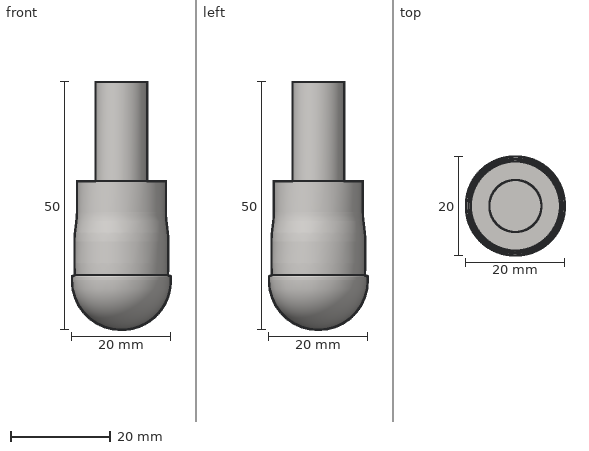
import cadquery as cq
import math

total_height = 50.0

dome_radius = 10.0
rim_height = 0.85
rim_fillet = 0.25
rim_slope_rise = 0.2

shank_radius = 5.25
shank_length = 20.0
collar_radius = 9.0
barrel_radius = 9.5
blend_radius = 15.0
taper_top = 22.85
taper_bottom = 18.75
barrel_bottom = 13.5
barrel_end_radius = 30.0

rim_top = dome_radius + rim_height
joint_height = rim_top + rim_slope_rise
shoulder_height = total_height - shank_length

taper_angle = math.atan2(barrel_radius - collar_radius, taper_top - taper_bottom)
blend_tangent = blend_radius * math.tan(taper_angle / 2)
blend_rise = blend_tangent * math.cos(taper_angle)
blend_step = blend_tangent * math.sin(taper_angle)


def blend_middle(corner_radius, corner_height, side):
    """Middle of a blend arc; side is +1 when the arc lies outside the corner, -1 when inside."""
    half_angle = taper_angle / 2
    gap = blend_radius / math.cos(half_angle) - blend_radius
    return (
        corner_radius + side * gap * math.cos(half_angle),
        corner_height + side * gap * math.sin(half_angle),
    )


def lower_arc_radius(height):
    """Radius of the inward-curving lower end of the barrel at a given height."""
    drop = barrel_bottom - height
    return barrel_radius - barrel_end_radius + math.sqrt(barrel_end_radius**2 - drop**2)


def make_dome():
    """Hemisphere with a short cylindrical rim, a rounded rim edge and a gentle slope up to the joint."""
    diagonal = math.sqrt(0.5)
    profile = (
        cq.Workplane("XZ")
        .moveTo(0, 0)
        .threePointArc((dome_radius * diagonal, dome_radius * (1 - diagonal)), (dome_radius, dome_radius))
        .lineTo(dome_radius, rim_top)
        .lineTo(lower_arc_radius(joint_height), joint_height)
        .lineTo(0, joint_height)
        .close()
    )
    dome = profile.revolve(360, (0, 0, 0), (0, 1, 0))
    rim_edge = cq.NearestToPointSelector((0, 0, rim_top))
    return dome.edges(rim_edge).fillet(rim_fillet)


def make_holder():
    """Shank, collar and barrel turned as one piece, standing on the flat top of the dome."""
    lower_middle = (joint_height + barrel_bottom) / 2
    profile = (
        cq.Workplane("XZ")
        .moveTo(0, joint_height)
        .lineTo(lower_arc_radius(joint_height), joint_height)
        .threePointArc((lower_arc_radius(lower_middle), lower_middle), (barrel_radius, barrel_bottom))
        .lineTo(barrel_radius, taper_bottom - blend_tangent)
        .threePointArc(
            blend_middle(barrel_radius, taper_bottom, -1),
            (barrel_radius - blend_step, taper_bottom + blend_rise),
        )
        .lineTo(collar_radius + blend_step, taper_top - blend_rise)
        .threePointArc(
            blend_middle(collar_radius, taper_top, 1),
            (collar_radius, taper_top + blend_tangent),
        )
        .lineTo(collar_radius, shoulder_height)
        .lineTo(shank_radius, shoulder_height)
        .lineTo(shank_radius, total_height)
        .lineTo(0, total_height)
        .close()
    )
    return profile.revolve(360, (0, 0, 0), (0, 1, 0))


dome = make_dome()
holder = make_holder()

result = cq.Compound.makeCompound([dome.val(), holder.val()])